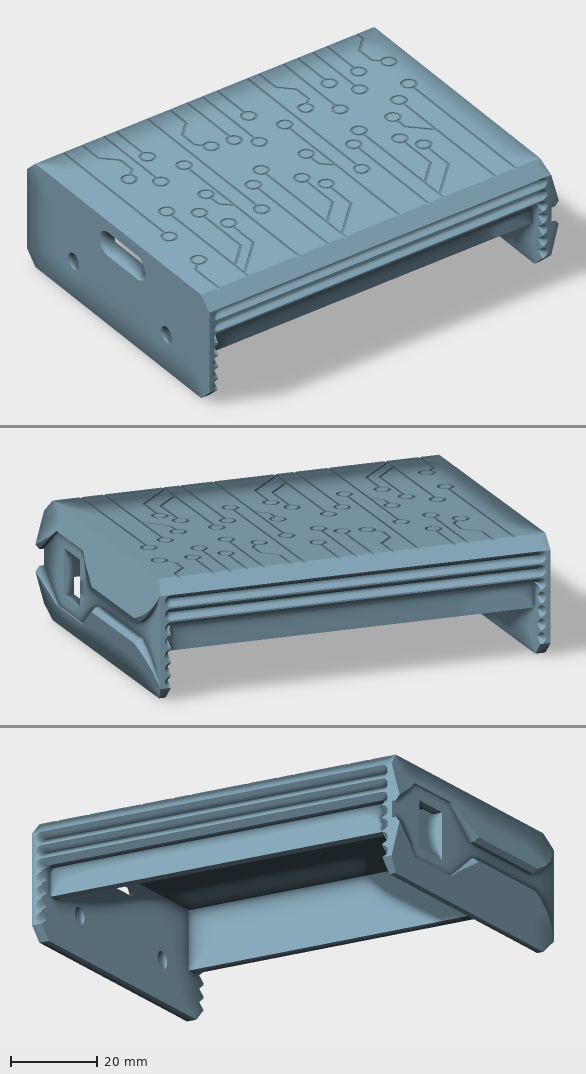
import cadquery as cq
import math

WIDTH = 72.5
LENGTH = 99.47
HEIGHT = 29.0
MID_Z = HEIGHT / 2
CORNER = 3.25
HALF_WIDTH = WIDTH / 2
SIDE_TOP = HEIGHT - CORNER
SIDE_HEIGHT = HEIGHT - 2 * CORNER

PANEL = 2.55
BACK_PLANE = 97.3
BACK_INNER = BACK_PLANE - PANEL
SHELL_BOTTOM = 17.9
SKIRT_BOTTOM = 11.0
RAIL_FILLET = 1.4
SKIRT_INSET = 4.0
SKIRT_WALL = 2.7
CAVITY_TOP = SIDE_TOP

REAR_TOP_Y = 96.4
REAR_SLOPE = math.tan(math.radians(15))
RIDGE_Y = REAR_TOP_Y + REAR_SLOPE * MID_Z

NARROW_HALF = 2.0
PORT_X = 18.75
PORT_HALF = 9.0
PORT_HALF_WIDTH = 8.25
PORT_RAMP_START = 1.4
BELL_START = -HALF_WIDTH
BELL_HALF = 11.5
BELL_MID_X = -31.0
BELL_MID_HALF = 5.5
BELL_END = -25.5
FLARE_START = 98.4
LIP_HALF = MID_Z - (LENGTH - REAR_TOP_Y) / REAR_SLOPE
FLARE_ANGLE = math.degrees(math.atan((LIP_HALF - NARROW_HALF) / (LENGTH - FLARE_START)))

GROOVE_COUNT = 7
GROOVE_LAND = 0.4
GROOVE_RADIUS = (SIDE_HEIGHT - (GROOVE_COUNT - 1) * GROOVE_LAND) / (2 * GROOVE_COUNT)
GROOVE_PITCH = 2 * GROOVE_RADIUS + GROOVE_LAND
GROOVE_DEPTH = 2.0
GROOVE_END = 1.1

HOLE_DIAMETER = 4.3
HOLE_Z = 10.1
HOLE_XS = (-17.75, 19.25)
SLOT_X = 1.7
SLOT_Z = 22.5
SLOT_LENGTH = 18.2
SLOT_HEIGHT = 6.6
SLOT_TAPER = 45

WINDOW_BOTTOM = 8.7
WINDOW_WIDTH = 10.0
BRACKET_BOTTOM = 7.0
BRACKET_WIDTH = 2.0
BRACKET_LENGTH = 3.75
BRACKET_FILLET = 2.1

TRACE_WIDTH = 0.65
TRACE_DEPTH = 0.3
PAD_OUTER = 2.05
PAD_INNER = PAD_OUTER - TRACE_WIDTH
CUT_MARGIN = 2.0

LEFT_TRACES = [
    (-20.2, 82.8), (-14.1, 78.75), (-20.2, 74.5), (-10.1, 70.35),
    (12.65, 60.2), (-20.2, 51.55), (-10.1, 47.35), (-14.1, 43.05),
    (12.65, 31.75), (-20.2, 22.75), (-10.1, 19.35), (9.35, 7.85),
]
RIGHT_TRACES = [
    (-9.4, 89.4), (-5.3, 83.65), (-0.5, 68.85), (3.4, 64.6), (-12.45, 56.3),
    (-0.5, 41.0), (3.4, 36.05), (-12.45, 27.65), (0.65, 13.35),
]
BRANCHES = [
    (-0.4, 78.45, 4.4, 83.65), (12.8, 77.75, 22.7, 68.85), (7.6, 74.7, 19.85, 68.85),
    (0.2, 53.35, 5.0, 56.3), (12.8, 50.0, 22.7, 41.0), (7.6, 46.85, 19.85, 41.0),
    (0.2, 24.9, 5.0, 27.65), (12.8, 22.25, 22.7, 13.35), (5.45, 19.2, 22.0, 13.35),
]
JOGS = [
    (-19.5, 90.85, 88.0, -27.1, 91.45), (-15.15, 64.2, 66.9, -22.7, 63.45),
    (-15.15, 37.25, 34.5, -22.7, 38.1), (-15.15, 13.95, 16.85, -22.7, 13.15),
]
CORNER_TRACE_PAD = (21.05, 7.85)
CORNER_TRACE_Y = 4.9


def box(x0, x1, y0, y1, z0, z1):
    """Axis-aligned block between two opposite corners."""
    return cq.Workplane("XY").box(x1 - x0, y1 - y0, z1 - z0, centered=False).translate((x0, y0, z0))


def make_body():
    """Octagonal bar with two sloped rear faces that meet in a ridge at mid height."""
    bar = box(-HALF_WIDTH, HALF_WIDTH, 0, RIDGE_Y, 0, HEIGHT).edges("|Y").chamfer(CORNER)
    side_profile = (
        cq.Workplane("YZ")
        .polyline([(0, 0), (REAR_TOP_Y, 0), (RIDGE_Y, MID_Z), (REAR_TOP_Y, HEIGHT), (0, HEIGHT)])
        .close()
        .extrude(HALF_WIDTH, both=True)
    )
    return bar.intersect(side_profile)


def make_underside():
    """Space removed below the rails, beside the skirts and inside the shell."""
    skirt_x = HALF_WIDTH - SKIRT_INSET
    cavity_x = skirt_x - SKIRT_WALL
    reach = HALF_WIDTH + CUT_MARGIN
    below = box(-reach, reach, PANEL, BACK_INNER, -CUT_MARGIN, SKIRT_BOTTOM)
    cavity = box(-cavity_x, cavity_x, PANEL, BACK_INNER, 0, CAVITY_TOP)
    recesses = below.union(cavity)
    for inner, outer in ((-reach, -skirt_x), (skirt_x, reach)):
        side = box(inner, outer, PANEL, BACK_INNER, 0, SHELL_BOTTOM)
        recesses = recesses.union(side.edges("|X and >Z").fillet(RAIL_FILLET))
    return recesses


def channel_outline(y):
    """Channel outline in the plane at the given Y, mirrored about mid height."""
    right_x = HALF_WIDTH + CUT_MARGIN
    half_outline = [
        (PORT_RAMP_START, NARROW_HALF),
        (PORT_X - PORT_HALF_WIDTH, PORT_HALF),
        (PORT_X + PORT_HALF_WIDTH, PORT_HALF),
        (HALF_WIDTH, NARROW_HALF),
        (right_x, NARROW_HALF),
    ]
    other_half = [(x, -height) for x, height in reversed(half_outline)]
    plane = cq.Plane(origin=(0, y, MID_Z), xDir=(1, 0, 0), normal=(0, 1, 0))
    outline = (
        cq.Workplane(plane)
        .moveTo(BELL_START, BELL_HALF)
        .threePointArc((BELL_MID_X, BELL_MID_HALF), (BELL_END, NARROW_HALF))
    )
    for x, height in half_outline + other_half:
        outline = outline.lineTo(x, height)
    return (
        outline.lineTo(BELL_END, -NARROW_HALF)
        .threePointArc((BELL_MID_X, -BELL_MID_HALF), (BELL_START, -BELL_HALF))
        .close()
    )


def make_channel():
    """Channel in the rear face: bell mouth at -X, narrow neck, wide port area, narrow again."""
    straight = channel_outline(BACK_PLANE).extrude(RIDGE_Y - BACK_PLANE)
    flare = channel_outline(FLARE_START).extrude(RIDGE_Y - FLARE_START, taper=-FLARE_ANGLE)
    return straight.union(flare)


def make_side_groove(z):
    """V groove along the -X side with half-cone ends."""
    start_y = GROOVE_END + GROOVE_RADIUS
    end_y = BACK_PLANE - start_y
    trough = (
        cq.Workplane("XZ", origin=(-HALF_WIDTH, start_y, z))
        .polyline([(0, GROOVE_RADIUS), (GROOVE_DEPTH, 0), (0, -GROOVE_RADIUS)])
        .close()
        .extrude(-(end_y - start_y))
    )
    for y in (start_y, end_y):
        cone = cq.Solid.makeCone(
            GROOVE_RADIUS, 0, GROOVE_DEPTH, cq.Vector(-HALF_WIDTH, y, z), cq.Vector(1, 0, 0)
        )
        trough = trough.union(cq.Workplane(cone))
    return trough


def make_bracket():
    """Post on the inner face of the rear panel, with a fillet running into the panel on its -X side."""
    right_x = PORT_X - WINDOW_WIDTH / 2
    left_x = right_x - BRACKET_WIDTH
    front_y = BACK_INNER - BRACKET_LENGTH
    fillet_y = BACK_INNER - BRACKET_FILLET
    curve_offset = BRACKET_FILLET * (1 - math.sqrt(0.5))
    return (
        cq.Workplane("XY", origin=(0, 0, BRACKET_BOTTOM))
        .moveTo(right_x, BACK_INNER)
        .lineTo(right_x, front_y)
        .lineTo(left_x, front_y)
        .lineTo(left_x, fillet_y)
        .threePointArc(
            (left_x - curve_offset, BACK_INNER - curve_offset), (left_x - BRACKET_FILLET, BACK_INNER)
        )
        .close()
        .extrude(2 * (MID_Z - BRACKET_BOTTOM))
    )


def make_window():
    """Rectangular window through the rear panel at the port."""
    left_x = PORT_X - WINDOW_WIDTH / 2
    right_x = PORT_X + WINDOW_WIDTH / 2
    return box(left_x, right_x, BACK_INNER, LENGTH, WINDOW_BOTTOM, HEIGHT - WINDOW_BOTTOM)


def make_front_openings():
    """Two round holes and a slot that tapers inwards."""
    openings = (
        cq.Workplane("XZ", origin=(SLOT_X, 0, SLOT_Z))
        .slot2D(SLOT_LENGTH, SLOT_HEIGHT)
        .extrude(-PANEL, taper=SLOT_TAPER)
    )
    for x in HOLE_XS:
        hole = cq.Workplane("XZ", origin=(x, 0, HOLE_Z)).circle(HOLE_DIAMETER / 2).extrude(-PANEL)
        openings = openings.union(hole)
    return openings


def trace_routes():
    """Centre lines of all traces, each beginning at its pad."""
    edge = HALF_WIDTH
    routes = [[(x, y), (-edge, y)] for x, y in LEFT_TRACES]
    routes += [[(x, y), (edge, y)] for x, y in RIGHT_TRACES]
    for x, y, bend_x, join_y in BRANCHES:
        routes.append([(x, y), (bend_x, y), (bend_x + abs(join_y - y), join_y)])
    for x, y, run_y, run_x, edge_y in JOGS:
        run_start = (x - abs(run_y - y), run_y)
        run_end = (run_x, run_y)
        edge_start = (run_x - abs(edge_y - run_y), edge_y)
        routes.append([(x, y), run_start, run_end, edge_start, (-edge, edge_y)])
    pad_x, pad_y = CORNER_TRACE_PAD
    bend = (pad_x + pad_y - CORNER_TRACE_Y, CORNER_TRACE_Y)
    routes.append([CORNER_TRACE_PAD, bend, (edge, CORNER_TRACE_Y)])
    return routes


def make_trace(route):
    """One engraved trace of constant width with a pad ring at its start."""
    floor = cq.Workplane("XY", origin=(0, 0, HEIGHT - TRACE_DEPTH))
    trace = floor.center(*route[0]).circle(PAD_OUTER).extrude(TRACE_DEPTH)
    for (x0, y0), (x1, y1) in zip(route, route[1:]):
        length = math.hypot(x1 - x0, y1 - y0)
        angle = math.degrees(math.atan2(y1 - y0, x1 - x0))
        segment = (
            cq.Workplane("XY")
            .slot2D(length + TRACE_WIDTH, TRACE_WIDTH, angle)
            .extrude(TRACE_DEPTH)
            .translate(((x0 + x1) / 2, (y0 + y1) / 2, HEIGHT - TRACE_DEPTH))
        )
        trace = trace.union(segment)
    island = floor.center(*route[0]).circle(PAD_INNER).extrude(TRACE_DEPTH)
    return trace.cut(island)


body = make_body().cut(make_channel()).cut(make_underside())

for index in range(GROOVE_COUNT):
    groove = make_side_groove(SIDE_TOP - GROOVE_RADIUS - index * GROOVE_PITCH)
    body = body.cut(groove).cut(groove.mirror("YZ"))

body = body.union(make_bracket()).cut(make_front_openings())
body = body.cut(make_window())

for route in trace_routes():
    body = body.cut(make_trace(route))

result = body